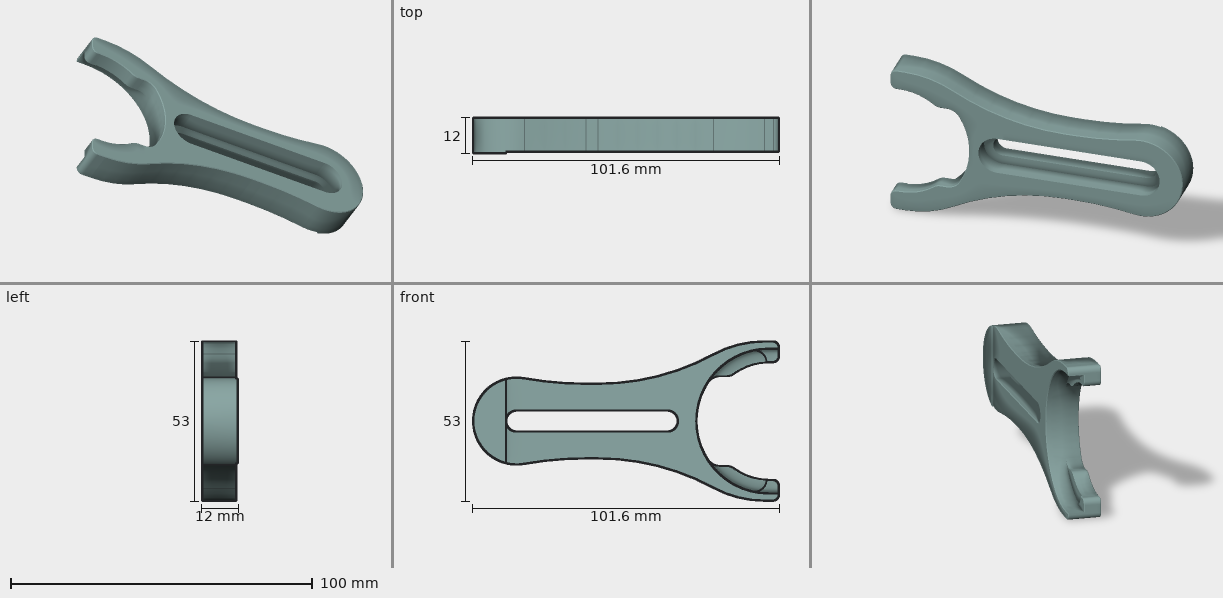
import cadquery as cq
import math


length = 101.6
half_height = 26.5
body_thickness = 11.5
edge_chamfer = 0.25

head_radius = 14.5
head_rise = 0.5
waist_half_height = 12.5
waist_start = 37.5
waist_end = 41.5
arm_inner_radius = 78.7
arm_outer_radius = 34.5
arm_flat_length = 5.0
tip_radius = 2.0

fork_center = 98.1
fork_radius = 23.9

lip_radius = 19.4
lip_thickness = 6.0
lip_gap_half_height = 14.8
lip_root_radius = 5.0
lip_corner_radius = 4.0
recess_depth = 0.5
recess_end = 93.5

slot_start = head_radius
slot_end = 64.5
slot_radius = 3.4
channel_radius = 6.5
slot_land_thickness = 5.1


def plate(depth=0.0):
    """Sketch plane parallel to XZ, the given distance in front of the back face."""
    return cq.Workplane("XZ", origin=(0, -depth, 0))


def blank():
    """Solid outer shape, with the fork still filled in."""
    run = waist_start - head_radius
    drop = head_radius - waist_half_height
    side_radius = (run**2 + waist_half_height**2 - head_radius**2) / (2 * drop)
    contact_angle = math.atan2(waist_half_height + side_radius, run)
    head_contact = (
        head_radius + head_radius * math.cos(contact_angle),
        head_radius * math.sin(contact_angle),
    )
    head_shoulder = (
        head_radius - head_radius * math.cos(math.pi / 4),
        head_radius * math.sin(math.pi / 4),
    )

    arm_flat_start = length - arm_flat_length
    arm_run = arm_flat_start - waist_end
    arm_slope = 2 * math.atan2(half_height - waist_half_height, arm_run)
    inner_share = arm_inner_radius / (arm_inner_radius + arm_outer_radius)
    arm_blend = (
        waist_end + inner_share * arm_run,
        waist_half_height + inner_share * arm_run * math.tan(arm_slope / 2),
    )

    upper_half = (
        plate()
        .moveTo(0, 0)
        .threePointArc(head_shoulder, head_contact)
        .tangentArcPoint((waist_start, waist_half_height), relative=False)
        .lineTo(waist_end, waist_half_height)
        .tangentArcPoint(arm_blend, relative=False)
        .tangentArcPoint((arm_flat_start, half_height), relative=False)
        .lineTo(length, half_height)
        .lineTo(length, 0)
        .close()
        .extrude(body_thickness)
        .edges("|Y and >X and >Z")
        .fillet(tip_radius)
    )
    return upper_half.union(upper_half.mirror("XY")).clean()


def u_opening(radius, start_depth=0.0):
    """U-shaped cutter about the fork centre, from the given depth to the front, open past the tips."""
    depth = body_thickness - start_depth
    round_end = plate(start_depth).center(fork_center, 0).circle(radius).extrude(depth)
    straight = plate(start_depth).center(fork_center + radius, 0).rect(2 * radius, 2 * radius).extrude(depth)
    return round_end.union(straight)


def lip_opening():
    """Opening between the lips, widened to the fork wall where the lips stop."""
    gap = (
        plate()
        .center(fork_center - fork_radius / 2, 0)
        .rect(fork_radius, 2 * lip_gap_half_height)
        .extrude(body_thickness)
        .intersect(u_opening(fork_radius))
    )
    lip_corner = fork_center - math.sqrt(lip_radius**2 - lip_gap_half_height**2)
    lip_root = fork_center - math.sqrt(fork_radius**2 - lip_gap_half_height**2)
    reach = (lip_corner - lip_root) / 2
    opening = u_opening(lip_radius).union(gap)
    for edge_x, radius in ((lip_corner, lip_corner_radius), (lip_root, lip_root_radius)):
        corner_pair = cq.selectors.BoxSelector(
            (edge_x - reach, -body_thickness, -lip_radius),
            (edge_x + reach, 0, lip_radius),
        )
        opening = opening.edges("|Y").edges(corner_pair).fillet(radius)
    return opening


def slot(radius, depth=body_thickness):
    """Round-ended slot cutter reaching forward from the back face."""
    return (
        plate()
        .center((slot_start + slot_end) / 2, 0)
        .slot2D(slot_end - slot_start + 2 * radius, 2 * radius)
        .extrude(depth)
    )


def lip_recess():
    """Shallow cut in the front of the lips, ending in a round near each tip."""
    floor = lip_thickness - recess_depth
    inner_length = recess_end - fork_center + fork_radius
    inner = (
        plate(floor)
        .center(recess_end - inner_length / 2, 0)
        .rect(inner_length, 2 * fork_radius)
        .extrude(recess_depth)
    )
    ends = (
        plate(floor)
        .pushPoints([(recess_end, lip_radius), (recess_end, -lip_radius)])
        .circle(lip_corner_radius)
        .extrude(recess_depth)
    )
    return inner.union(ends).intersect(u_opening(fork_radius))


def head_pad():
    """Raised segment on the front of the head, ending level with the start of the slot."""
    pad_edge = head_radius - slot_radius
    corner_height = math.sqrt(head_radius**2 - slot_radius**2)
    return (
        plate(body_thickness - edge_chamfer)
        .moveTo(pad_edge, -corner_height)
        .threePointArc((0, 0), (pad_edge, corner_height))
        .close()
        .extrude(edge_chamfer + head_rise)
        .faces("<Y")
        .edges()
        .chamfer(edge_chamfer)
    )


lip_tip_corners = cq.selectors.BoxSelector(
    (length - edge_chamfer, -body_thickness, -fork_radius),
    (length + edge_chamfer, 0, fork_radius),
)
fork = blank().cut(lip_opening()).edges("|Y").edges(lip_tip_corners).fillet(tip_radius)

fork = fork.cut(u_opening(fork_radius, lip_thickness)).cut(lip_recess()).cut(slot(slot_radius))

lip_tip_edges = cq.selectors.BoxSelector(
    (recess_end + lip_corner_radius, -lip_thickness - edge_chamfer, -fork_radius + edge_chamfer),
    (length + edge_chamfer, -lip_thickness + edge_chamfer, fork_radius - edge_chamfer),
)
fork = fork.edges(lip_tip_edges).chamfer(edge_chamfer)
for face in ("<Y", ">Y"):
    fork = fork.faces(face).edges().chamfer(edge_chamfer)

channel_depth = body_thickness - slot_land_thickness
result = fork.union(head_pad()).cut(slot(channel_radius, channel_depth))